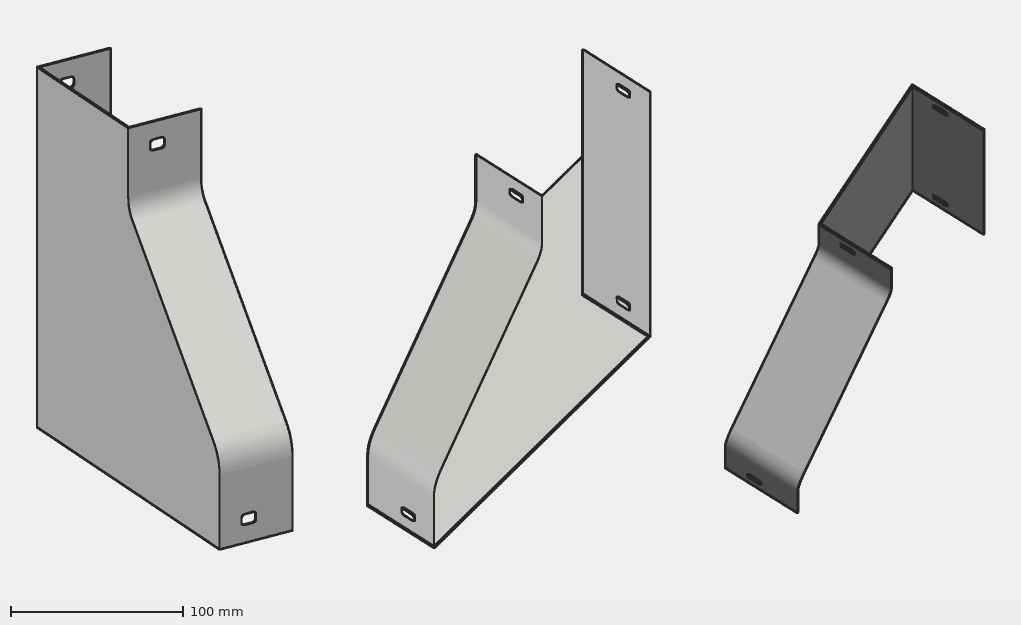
import cadquery as cq

height = 230.0
base_width = 200.0
depth = 50.0
sheet = 1.0

top_width = base_width / 2
upper_corner_z = 178.2
lower_corner_z = 58.5
upper_bend_radius = 20.0
lower_bend_radius = 30.0

slot_length = 10.0
slot_height = 7.0
slot_corner_radius = 2.0
slot_from_front = 20.0
slot_from_end = 15.0


def side_bend(solid, x, z, radius):
    """Round the corner edge of the sloped side that runs along Y through (x, z)."""
    edge_point = (x, depth / 2, z)
    return solid.edges(cq.selectors.NearestToPointSelector(edge_point)).fillet(radius)


def make_block():
    """Solid body filling the full depth inside the outer outline."""
    outline = [
        (0, 0),
        (base_width, 0),
        (base_width, lower_corner_z),
        (top_width, upper_corner_z),
        (top_width, height),
        (0, height),
    ]
    block = cq.Workplane("XZ").polyline(outline).close().extrude(-depth)
    block = side_bend(block, top_width, upper_corner_z, upper_bend_radius)
    return side_bend(block, base_width, lower_corner_z, lower_bend_radius)


def make_shell(block):
    """Hollow the block, leaving its back, top and bottom open."""
    return block.faces(">Y or >Z or <Z").shell(-sheet)


def make_slot_cutter(z):
    """Rounded bar along X that cuts one slot through both side walls."""
    return (
        cq.Workplane("YZ", origin=(0, slot_from_front, z))
        .rect(slot_length, slot_height)
        .extrude(base_width)
        .edges("|X")
        .fillet(slot_corner_radius)
    )


result = make_shell(make_block())
for slot_z in (slot_from_end, height - slot_from_end):
    result = result.cut(make_slot_cutter(slot_z))